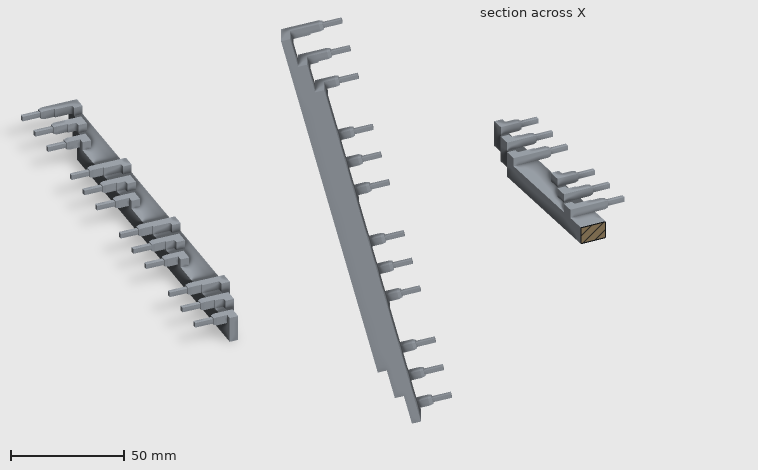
import cadquery as cq

length = 196.3
depth = 27.5
height = 12.4

phases = 3
bar_thickness = height / phases
bar_height = 8.2
bar_stack_depth = phases * bar_thickness

groups = 4
group_pitch = 54.0
head_width = 6.3
phase_pitch = (length - head_width - (groups - 1) * group_pitch) / (phases - 1)
bar_length = length - (phases - 1) * phase_pitch

arm_width = 4.1
neck_width = 3.5
neck_end = 17.3
head_corner_radius = 0.8
prong_height = height - bar_height
prong_mid_z = bar_height + prong_height / 2

collar_length = 1.5
collar_tip_width = 3.0
collar_tip_height = 3.3
pin_width = 2.0
pin_height = 2.4
pin_start = neck_end + collar_length
pin_length = depth - pin_start


def block(x, y_rear, z, size_x, size_y, size_z):
    """Box given by its left, rear, bottom corner; its depth runs toward -Y."""
    return cq.Workplane("XY").box(size_x, size_y, size_z, centered=False).translate(
        (x, y_rear - size_y, z)
    )


def make_bar(phase):
    return block(phase * phase_pitch, -phase * bar_thickness, 0, bar_length, bar_thickness, bar_height)


def make_arm(x, head_rear):
    """L-shaped head and arm, ending in the slightly narrower neck."""
    head_front = head_rear - bar_thickness
    neck = block(x, head_rear, bar_height, neck_width, head_rear + neck_end, prong_height)
    head = block(x, head_rear, bar_height, head_width, bar_thickness, prong_height)
    arm_length = head_front + bar_stack_depth
    if arm_length < head_corner_radius:
        return head.union(neck)
    arm = block(x, head_rear, bar_height, arm_width, bar_thickness + arm_length, prong_height)
    inner_corner = cq.NearestToPointSelector((x + arm_width, head_front, prong_mid_z))
    arm = head.union(arm).edges("|Z").edges(inner_corner).fillet(head_corner_radius)
    return arm.union(neck)


def make_contact(x):
    """Collar tapering away from the neck, then the contact pin."""
    axis_x = x + neck_width / 2
    neck_face = cq.Workplane("XZ", origin=(axis_x, -neck_end, prong_mid_z))
    collar = (
        neck_face.rect(neck_width, prong_height)
        .workplane(offset=collar_length)
        .rect(collar_tip_width, collar_tip_height)
        .loft()
    )
    pin = (
        cq.Workplane("XZ", origin=(axis_x, -pin_start, prong_mid_z))
        .rect(pin_width, pin_height)
        .extrude(pin_length)
    )
    return collar.union(pin)


result = cq.Workplane("XY")
for phase in range(phases):
    result = result.union(make_bar(phase))
    for group in range(groups):
        prong_x = phase * phase_pitch + group * group_pitch
        result = result.union(make_arm(prong_x, -phase * bar_thickness))
        result = result.union(make_contact(prong_x))